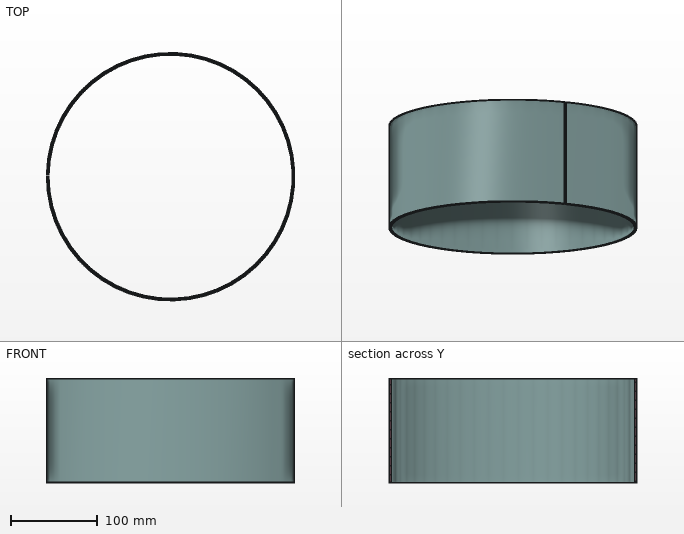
import cadquery as cq

outer_diameter = 285.0
wall_thickness = 2.5
height = 120.0
outer_chamfer = 0.5
inner_chamfer = 0.2
slit_angle = 1.0
slit_start_angle = 180.0

outer_radius = outer_diameter / 2
inner_radius = outer_radius - wall_thickness
ring_angle = 360.0 - slit_angle


def wall_section():
    """Cross-section of the wall in the XZ plane, chamfered at all four corners."""
    outline = [
        (inner_radius + inner_chamfer, 0),
        (outer_radius - outer_chamfer, 0),
        (outer_radius, outer_chamfer),
        (outer_radius, height - outer_chamfer),
        (outer_radius - outer_chamfer, height),
        (inner_radius + inner_chamfer, height),
        (inner_radius, height - inner_chamfer),
        (inner_radius, inner_chamfer),
    ]
    return cq.Workplane("XZ").polyline(outline).close()


def make_split_ring():
    """Sweep the wall around Z, leaving the slit open, and turn the slit to the -X side."""
    ring = wall_section().revolve(ring_angle, (0, 0, 0), (0, 1, 0))
    return ring.rotate((0, 0, 0), (0, 0, 1), slit_start_angle)


result = make_split_ring()